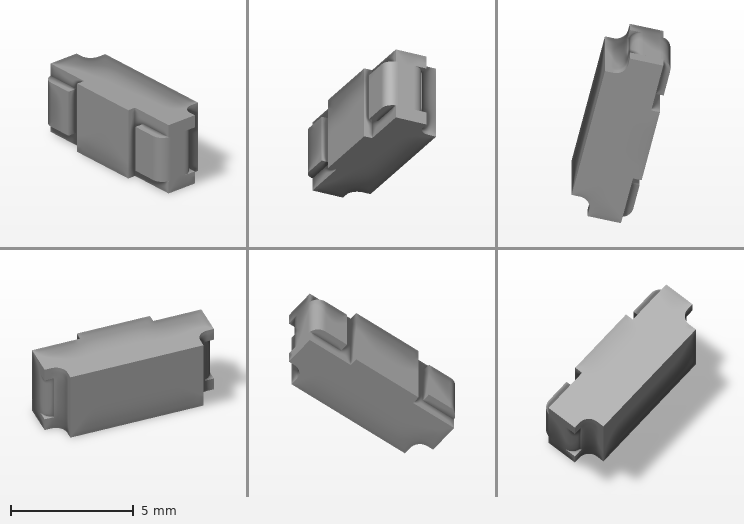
import cadquery as cq

length = 7.4
height = 3.1
body_depth = 2.25
pad_width = 3.2
pad_rise = 0.36
notch_width = 0.79
notch_depth = 0.85
notch_radius = 0.495

lead_width = 2.0
lead_thickness = 0.4
lead_outer_radius = 0.495
lead_inner_radius = 0.37
lead_arm_length = 1.6
lead_rear_gap = 0.05

half_length = length / 2
notch_y = body_depth - notch_depth
lead_rear_y = notch_y - lead_rear_gap
lead_front_y = -lead_thickness


def box(x_min, x_max, y_min, y_max, z_size):
    """Box between the given X and Y limits, centred on z = 0."""
    size_x = x_max - x_min
    size_y = y_max - y_min
    return cq.Workplane("XY").box(size_x, size_y, z_size).translate(
        ((x_min + x_max) / 2, (y_min + y_max) / 2, 0)
    )


def make_left_lead():
    """C-shaped lead at the -X end: front foot, end leg and rear arm."""
    outer = box(-half_length, -half_length + lead_arm_length, lead_front_y, lead_rear_y, lead_width)
    outer = outer.edges("|Z and <X").fillet(lead_outer_radius)
    inner = box(
        -half_length + lead_thickness,
        -half_length + lead_arm_length,
        0,
        lead_rear_y - lead_thickness,
        lead_width,
    )
    inner = inner.edges("|Z and <X").fillet(lead_inner_radius)
    return outer.cut(inner)


def make_left_recess():
    """Channel across the whole -X end face, deep enough for the leg of the lead to lie flush."""
    return box(-half_length, -half_length + lead_thickness, 0, body_depth, lead_width)


def make_left_notch():
    """Rear corner notch with a rounded inner corner."""
    notch = box(-half_length, -half_length + notch_width, notch_y, body_depth, height)
    return notch.edges("|Z and >X and <Y").fillet(notch_radius)


def make_housing(leads):
    """Symmetrical housing with end channels and slots matching the given leads."""
    housing = box(-half_length, half_length, 0, body_depth, height)
    housing = housing.union(box(-pad_width / 2, pad_width / 2, -pad_rise, 0, height))
    for cutter in (make_left_notch(), make_left_recess()):
        housing = housing.cut(cutter).cut(cutter.mirror("YZ"))
    for lead in leads:
        housing = housing.cut(lead)
    return housing


left_lead = make_left_lead()
leads = [left_lead, left_lead.mirror("YZ")]
housing = make_housing(leads)

result = cq.Compound.makeCompound([housing.val(), *[lead.val() for lead in leads]])